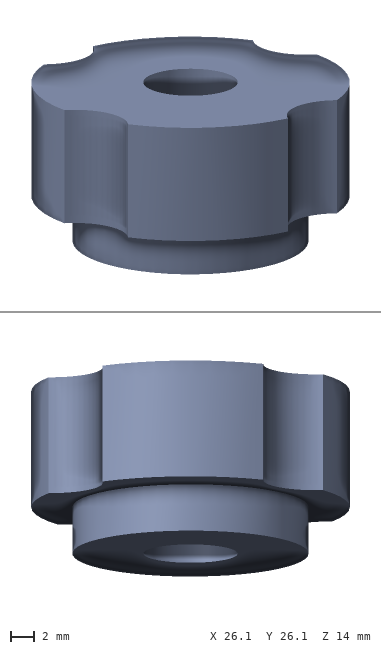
import cadquery as cq
import math

overall_width = 26.12
overall_height = 14.0
head_height = 10.0
hub_diameter = 20.0
bore_diameter = 8.0
notch_opening = 6.82
notch_floor_radius = 11.5
notch_count = 4

hub_height = overall_height - head_height
corner_distance = overall_width / 2
half_opening = notch_opening / 2
head_radius = math.hypot(corner_distance, half_opening)

notch_depth = corner_distance - notch_floor_radius
notch_radius = (half_opening**2 + notch_depth**2) / (2 * notch_depth)
notch_center_radius = notch_floor_radius + notch_radius


def make_head():
    """Grip disc with round notches spaced evenly around its rim."""
    head = cq.Workplane("XY").workplane(offset=hub_height).circle(head_radius).extrude(head_height)
    notches = (
        cq.Workplane("XY")
        .workplane(offset=hub_height)
        .polarArray(notch_center_radius, 0, 360, notch_count)
        .circle(notch_radius)
        .extrude(head_height)
    )
    return head.cut(notches)


def make_hub():
    """Plain round hub below the grip disc."""
    return cq.Workplane("XY").circle(hub_diameter / 2).extrude(hub_height)


def make_bore():
    """Through hole along the part axis."""
    return cq.Workplane("XY").circle(bore_diameter / 2).extrude(overall_height)


result = make_head().union(make_hub()).cut(make_bore())